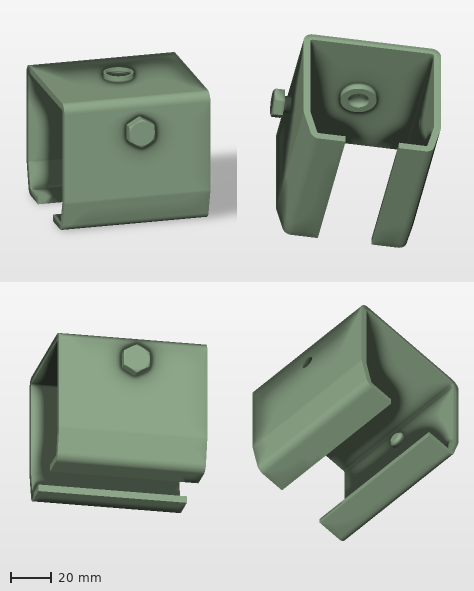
import cadquery as cq
import math

overall_width = 77.8

bracket_width = 69.0
bracket_length = 75.0
bracket_height = 67.0
sheet = 3.5
inner_bend = 1.0
outer_bend = inner_bend + sheet
lip_gap = 26.9
knee_height = 15.95
lean_angle = 15.0

bushing_diameter = 15.0
bushing_rise = 3.0
collar_diameter = 18.0
collar_depth = 3.5
bore_diameter = 10.5
counterbore_diameter = 13.0
counterbore_depth = 2.0
bore_chamfer = 0.55

bolt_drop = 15.0
bolt_diameter = 8.0
bolt_length = 15.5
bolt_tip_chamfer = 1.3
head_across_flats = 13.0
head_thickness = 5.2
head_face_diameter = 12.5
head_chamfer_angle = 30.0
neck_fillet = 0.6
wall_hole_diameter = 6.8

half_width = bracket_width / 2
bolt_height = bracket_height - bolt_drop
bolt_end_x = overall_width - half_width
bolt_tip_x = bolt_end_x - bolt_length
lean = math.radians(lean_angle)


def bracket_section(inset, bend_radius):
    """Solid bar with the bracket's profile, every face set in by `inset` and every bend rounded."""
    side_x = half_width - inset
    top_z = bracket_height - inset
    knee_z = knee_height + inset * math.tan(lean / 2)
    foot_x = side_x - (knee_z - inset) * math.tan(lean)
    corners = [
        (-side_x, top_z),
        (side_x, top_z),
        (side_x, knee_z),
        (foot_x, inset),
        (-foot_x, inset),
        (-side_x, knee_z),
    ]
    bar = cq.Workplane("XZ").polyline(corners).close().extrude(bracket_length / 2, both=True)
    return bar.edges("|Y").fillet(bend_radius)


def make_bracket():
    outer = bracket_section(0, outer_bend)
    inner = bracket_section(sheet, inner_bend)
    slot = cq.Workplane("XY").box(lip_gap, bracket_length, 2 * sheet)
    return outer.cut(inner).cut(slot)


def make_bushing():
    collar = (
        cq.Workplane("XY", origin=(0, 0, bracket_height - sheet))
        .circle(collar_diameter / 2)
        .extrude(-collar_depth)
    )
    sleeve = (
        cq.Workplane("XY", origin=(0, 0, bracket_height - sheet))
        .circle(bushing_diameter / 2)
        .extrude(sheet + bushing_rise)
    )
    return collar.union(sleeve)


def make_bushing_bore():
    bore_radius = bore_diameter / 2
    top = bracket_height + bushing_rise
    seat = top - counterbore_depth
    bottom = bracket_height - sheet - collar_depth
    profile = [
        (0, bottom),
        (bore_radius, bottom),
        (bore_radius, seat - bore_chamfer),
        (bore_radius + bore_chamfer, seat),
        (counterbore_diameter / 2, seat),
        (counterbore_diameter / 2, top),
        (0, top),
    ]
    return cq.Workplane("XZ").polyline(profile).close().revolve(360, (0, 0), (0, 1))


def make_bolt():
    """Bolt along X, built on its own axis at Z = 0 and then lifted into place."""
    radius = bolt_diameter / 2
    head_x = bolt_end_x - head_thickness
    axis = ((0, 0), (1, 0))

    shank = (
        cq.Workplane("XZ")
        .moveTo(bolt_tip_x, 0)
        .lineTo(bolt_tip_x, radius - bolt_tip_chamfer)
        .lineTo(bolt_tip_x + bolt_tip_chamfer, radius)
        .lineTo(head_x - neck_fillet, radius)
        .radiusArc((head_x, radius + neck_fillet), -neck_fillet)
        .lineTo(head_x, 0)
        .close()
        .revolve(360, *axis)
    )

    corner_diameter = head_across_flats / math.cos(math.pi / 6)
    head = (
        cq.Workplane("YZ", origin=(head_x, 0, 0))
        .transformed(rotate=(0, 0, 90))
        .polygon(6, corner_diameter)
        .extrude(head_thickness)
    )
    face_radius = head_face_diameter / 2
    cone_radius = face_radius + head_thickness / math.tan(math.radians(head_chamfer_angle))
    chamfer_cone = (
        cq.Workplane("XZ")
        .polyline([(head_x, 0), (head_x, cone_radius), (bolt_end_x, face_radius), (bolt_end_x, 0)])
        .close()
        .revolve(360, *axis)
    )
    return shank.union(head.intersect(chamfer_cone)).translate((0, 0, bolt_height))


def make_wall_hole():
    return (
        cq.Workplane("YZ", origin=(-half_width, 0, bolt_height))
        .circle(wall_hole_diameter / 2)
        .extrude(sheet)
    )


result = (
    make_bracket()
    .union(make_bushing())
    .cut(make_bushing_bore())
    .cut(make_wall_hole())
    .union(make_bolt())
)